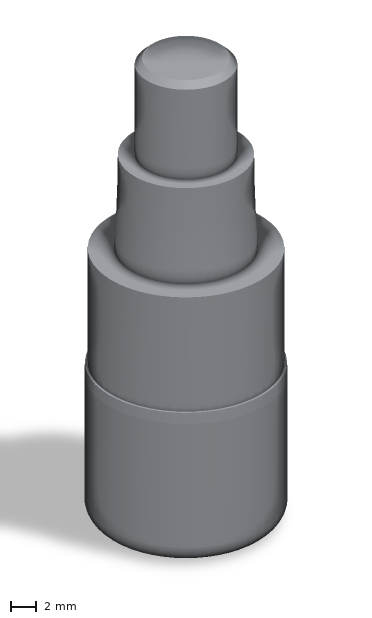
import cadquery as cq

base_radius = 7.94
base_fillet = 1.6
band_bottom_z = 12.8
band_top_z = 13.78
band_top_radius = 7.88
barrel_radius = 7.67
housing_height = 24.1

collar_bottom_radius = 5.6
collar_middle_radius = 5.4
collar_top_radius = 5.32
collar_top_z = 32.6
pin_radius = 4.0
tip_radius = 3.42
tip_chamfer_height = 0.55
overall_height = 41.25


def make_housing():
    """Stepped round body standing on Z = 0, its lower rim rounded off."""
    base = cq.Workplane("XY").circle(base_radius).extrude(band_bottom_z)
    base = base.faces("<Z").edges().fillet(base_fillet)
    upper_profile = (
        cq.Workplane("XZ")
        .moveTo(0, band_bottom_z)
        .lineTo(base_radius, band_bottom_z)
        .lineTo(band_top_radius, band_top_z)
        .lineTo(barrel_radius, band_top_z)
        .lineTo(barrel_radius, housing_height)
        .lineTo(0, housing_height)
        .close()
    )
    return base.union(upper_profile.revolve(360, (0, 0, 0), (0, 1, 0)))


def make_plunger():
    """Collar with a hollow flare, seated on the housing, and the pin above it."""
    collar_middle_z = (housing_height + collar_top_z) / 2
    profile = (
        cq.Workplane("XZ")
        .moveTo(0, housing_height)
        .lineTo(collar_bottom_radius, housing_height)
        .threePointArc((collar_middle_radius, collar_middle_z), (collar_top_radius, collar_top_z))
        .lineTo(pin_radius, collar_top_z)
        .lineTo(pin_radius, overall_height - tip_chamfer_height)
        .lineTo(tip_radius, overall_height)
        .lineTo(0, overall_height)
        .close()
    )
    return profile.revolve(360, (0, 0, 0), (0, 1, 0))


housing = make_housing()
plunger = make_plunger()
result = cq.Compound.makeCompound([housing.val(), plunger.val()])